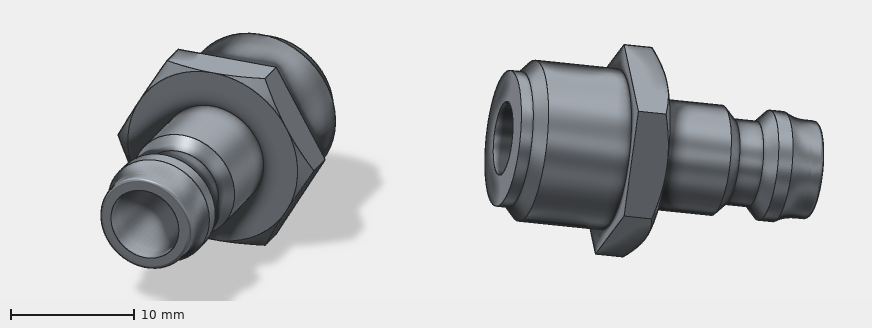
import cadquery as cq
import math


bore_diameter = 6.0

hex_sides = 6
hex_across_flats = 15.0
hex_thickness = 3.0
hex_chamfer_angle = 30.0

shank_diameter = 13.157
shank_pilot_diameter = 11.1
shank_radius = shank_diameter / 2
shank_pilot_radius = shank_pilot_diameter / 2
shank_length = 9.0
shank_pilot_length = 1.0
shank_chamfer_length = 1.0

plug_length = 14.0
plug_radius = 4.5
tip_radius = 4.0
tip_length = 1.0
tip_fillet = 0.3
flare_radius = 3.5
collar_end = 4.0
neck_radius = 3.5
neck_length = 2.0

hex_front = -hex_thickness
tip_face = hex_front - plug_length
flare_start = tip_face + tip_length
flare_rise = plug_radius - tip_radius
flare_angle = math.acos(1 - flare_rise / flare_radius)
flare_end = flare_start + flare_radius * math.sin(flare_angle)
collar_back = tip_face + collar_end
neck_cone_length = plug_radius - neck_radius
neck_start = collar_back + neck_cone_length
neck_end = neck_start + neck_length
barrel_start = neck_end + neck_cone_length
shank_chamfer_start = shank_length - shank_pilot_length - shank_chamfer_length
shank_pilot_start = shank_length - shank_pilot_length


def revolve_about_y(profile):
    """Turn a closed (radius, Y) profile through a full circle about the Y axis."""
    return profile.close().revolve(360, (0, 0, 0), (0, 1, 0))


def make_plug():
    """Plug end: rounded tip, concave flare, collar, locking neck and barrel."""
    fillet_mid = tip_fillet * (1 - math.sqrt(0.5))
    half_flare = flare_angle / 2
    flare_mid = (
        tip_radius + flare_radius * (1 - math.cos(half_flare)),
        flare_start + flare_radius * math.sin(half_flare),
    )
    profile = (
        cq.Workplane("XY")
        .moveTo(0, tip_face)
        .lineTo(tip_radius - tip_fillet, tip_face)
        .threePointArc(
            (tip_radius - fillet_mid, tip_face + fillet_mid),
            (tip_radius, tip_face + tip_fillet),
        )
        .lineTo(tip_radius, flare_start)
        .threePointArc(flare_mid, (plug_radius, flare_end))
        .lineTo(plug_radius, collar_back)
        .lineTo(neck_radius, neck_start)
        .lineTo(neck_radius, neck_end)
        .lineTo(plug_radius, barrel_start)
        .lineTo(plug_radius, 0)
        .lineTo(0, 0)
    )
    return revolve_about_y(profile)


def make_shank():
    """Threaded shank with a chamfered shoulder down to a short pilot."""
    profile = (
        cq.Workplane("XY")
        .moveTo(0, hex_front)
        .lineTo(shank_radius, hex_front)
        .lineTo(shank_radius, shank_chamfer_start)
        .lineTo(shank_pilot_radius, shank_pilot_start)
        .lineTo(shank_pilot_radius, shank_length)
        .lineTo(0, shank_length)
    )
    return revolve_about_y(profile)


def make_hexagon():
    """Hexagon with corners on the X axis, its plug-side corners cut by a cone."""
    inner_radius = hex_across_flats / 2
    corner_radius = inner_radius / math.cos(math.pi / hex_sides)
    corner_drop = (corner_radius - inner_radius) * math.tan(math.radians(hex_chamfer_angle))
    prism = (
        cq.Workplane("XZ")
        .polygon(hex_sides, 2 * corner_radius)
        .extrude(hex_thickness)
    )
    chamfer_envelope = revolve_about_y(
        cq.Workplane("XY")
        .moveTo(0, hex_front)
        .lineTo(inner_radius, hex_front)
        .lineTo(corner_radius, hex_front + corner_drop)
        .lineTo(corner_radius, 0)
        .lineTo(0, 0)
    )
    return prism.intersect(chamfer_envelope)


def make_bore():
    """Cylinder that opens the part from the tip to the shank end."""
    return (
        cq.Workplane("XZ", origin=(0, shank_length, 0))
        .circle(bore_diameter / 2)
        .extrude(shank_length - tip_face)
    )


result = make_hexagon().union(make_plug()).union(make_shank()).cut(make_bore())